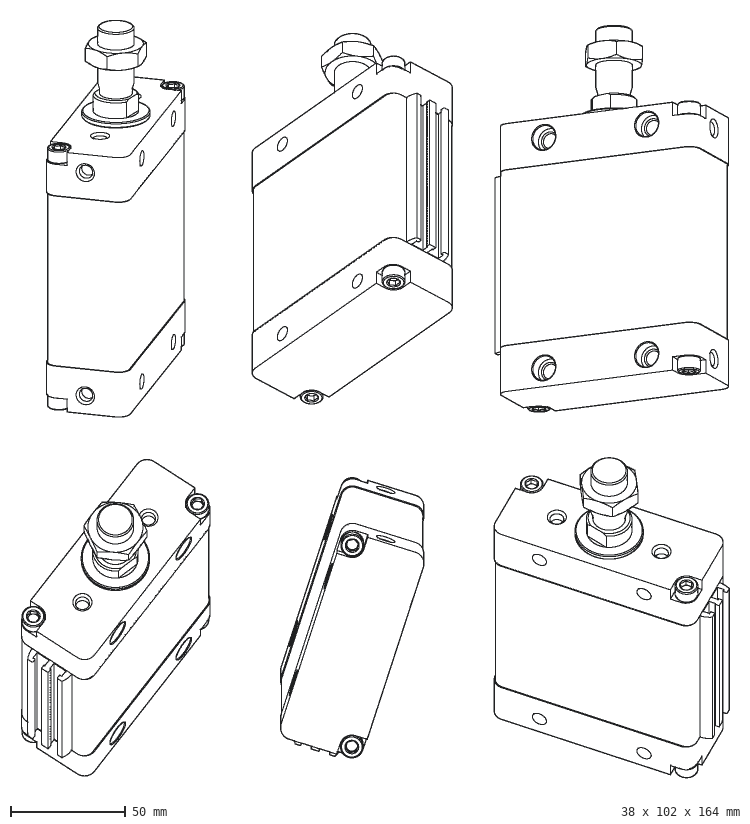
import cadquery as cq
import math

cover_width = 38.0
cover_front = -48.5
cover_back = 48.0
cover_height = 21.0
corner_radius = 5.4
tube_length = 79.9
tube_inset = 0.5
tube_bottom = cover_height
tube_top = tube_bottom + tube_length
body_height = tube_top + cover_height

bolt_x = 13.6
bolt_y = 43.0
bolt_head_diameter = 10.0
bolt_head_height = 6.0
bolt_head_chamfer = 0.5
bolt_seat_chamfer = 0.3
bolt_recess_diameter = 10.7
socket_width = 5.0
socket_mouth_diameter = 6.0
socket_depth = 3.0
socket_point_angle = 118

tap_mouth_diameter = 8.4
tap_diameter = 6.0
tap_depth = 5.0
hole_spacing = 50.0
hole_positions = (-hole_spacing / 2, hole_spacing / 2)
hole_inset = 8.5
cross_hole_diameter = 6.7
cross_hole_mouth_diameter = 8.0
counterbore_diameter = 11.0
counterbore_mouth_diameter = 11.8
counterbore_depth = 6.0

collar_diameter = 30.0
collar_height = 2.6
collar_chamfer = 0.5
rod_diameter = 20.0
rod_flats_width = 17.0
rod_flats_angle = -15
rod_shoulder_chamfer = 0.8
neck_diameter = 14.5
thread_diameter = 16.0
thread_chamfer = 0.7
collar_top = body_height + collar_height
shoulder_z = 132.7
neck_top_z = 135.0
thread_bottom_z = 138.0
rod_top_z = 164.0

nut_width = 24.1
nut_height = 8.0
nut_bottom_z = 148.0
nut_chamfer_angle = 30

rail_top = 53.5
lip_height = 2.0
rail_foot_outer = 10.7
rail_bulge = (10.2, 51.2)
rail_top_outer = 9.2
rail_inner = 7.7
hook_inner = 6.5
hook_tip_radius = 0.5
rail_floor_height = 0.3
web_half_width = 1.3
head_half_width = 1.8


def block(x_half, y_front, y_back, z_bottom, z_top, radius):
    """Upright block with rounded vertical edges."""
    return (
        cq.Workplane("XY", origin=(0, (y_front + y_back) / 2, z_bottom))
        .rect(2 * x_half, y_back - y_front)
        .extrude(z_top - z_bottom)
        .edges("|Z")
        .fillet(radius)
    )


def revolve_profile(points):
    """Solid of revolution about Z from (radius, z) points."""
    return cq.Workplane("XZ").polyline(points).close().revolve(360, (0, 0, 0), (0, 1, 0))


def countersunk_hole(mouth_diameter, diameter, depth):
    """Cutter for a hole going down from Z = 0, with a 45 degree chamfered mouth."""
    mouth = mouth_diameter / 2
    radius = diameter / 2
    return revolve_profile([(0, 0), (mouth, 0), (radius, radius - mouth), (radius, -depth), (0, -depth)])


def mounting_hole():
    """Cutter for a counterbored hole through the cover width, going down from Z = 0."""
    counterbore = countersunk_hole(counterbore_mouth_diameter, counterbore_diameter, counterbore_depth)
    cross_hole = countersunk_hole(
        cross_hole_mouth_diameter, cross_hole_diameter, cover_width - counterbore_depth
    )
    return counterbore.union(cross_hole.translate((0, 0, -counterbore_depth)))


def bolt_head():
    """Socket head standing on Z = 0, with a hexagonal socket and a conical socket bottom."""
    head = (
        cq.Workplane("XY")
        .circle(bolt_head_diameter / 2)
        .extrude(bolt_head_height)
        .faces(">Z")
        .chamfer(bolt_head_chamfer)
        .faces("<Z")
        .chamfer(bolt_seat_chamfer)
    )
    socket_floor = bolt_head_height - socket_depth
    socket = (
        cq.Workplane("XY", origin=(0, 0, socket_floor))
        .polygon(6, socket_width, circumscribed=True)
        .extrude(socket_depth)
    )
    point_depth = socket_width / 2 / math.tan(math.radians(socket_point_angle / 2))
    mouth_radius = socket_mouth_diameter / 2
    point = revolve_profile([(0, socket_floor), (socket_width / 2, socket_floor), (0, socket_floor - point_depth)])
    mouth = revolve_profile([
        (0, bolt_head_height),
        (mouth_radius, bolt_head_height),
        (0, bolt_head_height - mouth_radius),
    ])
    return head.cut(socket).cut(point).cut(mouth)


def bolt_recess():
    """Corner pocket around the head on Z = 0: open toward -X and -Y, rounded on the inner corner."""
    radius = bolt_recess_diameter / 2
    reach = 2 * radius
    return (
        cq.Workplane("XY")
        .moveTo(-reach, radius)
        .lineTo(0, radius)
        .radiusArc((radius, 0), radius)
        .lineTo(radius, -reach)
        .lineTo(-reach, -reach)
        .close()
        .extrude(bolt_head_height)
    )


def cover():
    """Cover standing on Z = 0 with its outer face up."""
    body = block(cover_width / 2, cover_front, cover_back, 0, cover_height, corner_radius)
    axis_z = cover_height - hole_inset

    cross_cutter = (
        mounting_hole()
        .rotate((0, 0, 0), (0, 1, 0), -90)
        .translate((-cover_width / 2, 0, axis_z))
    )
    for y in hole_positions:
        body = body.cut(cross_cutter.translate((0, y, 0)))

    port = countersunk_hole(tap_mouth_diameter, tap_diameter, tap_depth).rotate((0, 0, 0), (1, 0, 0), 90)
    body = body.cut(port.translate((0, cover_front, axis_z)))

    seat_z = cover_height - bolt_head_height
    for angle in (0, 180):
        place = (-bolt_x, -bolt_y, seat_z)
        body = body.cut(bolt_recess().translate(place).rotate((0, 0, 0), (0, 0, 1), angle))
        body = body.union(bolt_head().translate(place).rotate((0, 0, 0), (0, 0, 1), angle))
    return body


def make_rod_cover():
    """Upper cover with the collar, two tapped holes and the rod bore."""
    body = cover().translate((0, 0, tube_top))
    collar = (
        cq.Workplane("XY", origin=(0, 0, body_height))
        .circle(collar_diameter / 2)
        .extrude(collar_height)
        .faces("<Z or >Z")
        .chamfer(collar_chamfer)
    )
    body = body.union(collar)
    tap = countersunk_hole(tap_mouth_diameter, tap_diameter, tap_depth)
    for y in hole_positions:
        body = body.cut(tap.translate((0, y, body_height)))
    bore = cq.Workplane("XY", origin=(0, 0, tube_top)).circle(rod_diameter / 2).extrude(collar_top - tube_top)
    return body.cut(bore)


def make_head_cover():
    """Mirror image of the plain cover, outer face down."""
    return cover().mirror("XY").translate((0, 0, cover_height))


def make_tube():
    """Middle block with three full-length sensor rails on its back."""
    body = block(
        cover_width / 2 - tube_inset,
        -cover_back,
        cover_back,
        tube_bottom,
        tube_top,
        corner_radius - tube_inset,
    )
    lip_bottom = rail_top - lip_height
    rail_floor = cover_back + rail_floor_height
    hook = (
        cq.Workplane("XY", origin=(0, 0, tube_bottom))
        .moveTo(rail_inner, cover_back)
        .lineTo(rail_foot_outer, cover_back)
        .threePointArc(rail_bulge, (rail_top_outer, rail_top))
        .lineTo(hook_inner + hook_tip_radius, rail_top)
        .radiusArc((hook_inner, rail_top - hook_tip_radius), -hook_tip_radius)
        .lineTo(hook_inner, lip_bottom)
        .lineTo(rail_inner, lip_bottom)
        .close()
        .extrude(tube_length)
    )
    web = (
        cq.Workplane("XY", origin=(0, 0, tube_bottom))
        .moveTo(rail_inner, cover_back)
        .lineTo(rail_inner, rail_floor)
        .lineTo(web_half_width, rail_floor)
        .lineTo(web_half_width, lip_bottom)
        .lineTo(head_half_width, lip_bottom)
        .lineTo(head_half_width, rail_top)
        .lineTo(0, rail_top)
        .lineTo(0, cover_back)
        .close()
        .extrude(tube_length)
    )
    half_rails = hook.union(web)
    return body.union(half_rails).union(half_rails.mirror("YZ"))


def make_rod():
    """Rod with wrench flats, neck and threaded end, standing on the tube."""
    rod_radius = rod_diameter / 2
    thread_radius = thread_diameter / 2
    rod = revolve_profile([
        (0, tube_top),
        (rod_radius, tube_top),
        (rod_radius, shoulder_z - rod_shoulder_chamfer),
        (rod_radius - rod_shoulder_chamfer, shoulder_z),
        (neck_diameter / 2, shoulder_z),
        (neck_diameter / 2, neck_top_z),
        (thread_radius, thread_bottom_z),
        (thread_radius, rod_top_z - thread_chamfer),
        (thread_radius - thread_chamfer, rod_top_z),
        (0, rod_top_z),
    ])
    flats_height = shoulder_z - collar_top
    flats = (
        cq.Workplane("XY", origin=(0, 0, collar_top))
        .rect(2 * rod_diameter, 2 * rod_diameter)
        .rect(rod_flats_width, 2 * rod_diameter)
        .extrude(flats_height)
        .rotate((0, 0, 0), (0, 0, 1), rod_flats_angle)
    )
    return rod.cut(flats)


def make_nut():
    """Hexagon nut with chamfered corners, corners toward +Y and -Y."""
    corner_diameter = nut_width / math.cos(math.radians(30))
    hexagon = (
        cq.Workplane("XY", origin=(0, 0, nut_bottom_z))
        .polygon(6, corner_diameter)
        .extrude(nut_height)
        .rotate((0, 0, 0), (0, 0, 1), 30)
    )
    face_radius = nut_width / 2
    rim_radius = corner_diameter
    drop = (rim_radius - face_radius) * math.tan(math.radians(nut_chamfer_angle))
    nut_top_z = nut_bottom_z + nut_height
    envelope = revolve_profile([
        (0, nut_bottom_z),
        (face_radius, nut_bottom_z),
        (rim_radius, nut_bottom_z + drop),
        (rim_radius, nut_top_z - drop),
        (face_radius, nut_top_z),
        (0, nut_top_z),
    ])
    hole = cq.Workplane("XY", origin=(0, 0, nut_bottom_z)).circle(thread_diameter / 2).extrude(nut_height)
    return hexagon.intersect(envelope).cut(hole)


rod_cover = make_rod_cover()
head_cover = make_head_cover()
tube = make_tube()
rod = make_rod()
nut = make_nut()

result = cq.Compound.makeCompound([
    rod_cover.val(),
    tube.val(),
    head_cover.val(),
    rod.val(),
    nut.val(),
])